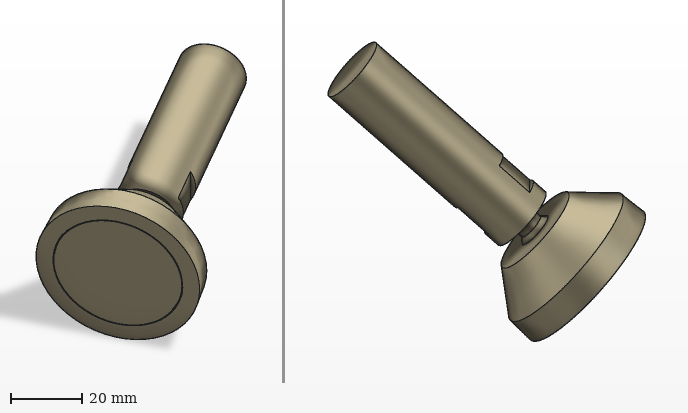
import cadquery as cq
import math

TOTAL_LENGTH = 90.0

BASE_DIAMETER = 48.0
RIM_TOP_DIAMETER = 47.2
RIM_HEIGHT = 8.2
FOOT_TOP_DIAMETER = 28.0
FOOT_HEIGHT = 20.0
GROOVE_OUTER_DIAMETER = 38.0
GROOVE_INNER_DIAMETER = 37.5
GROOVE_DEPTH = 0.9

SHANK_DIAMETER = 20.0
SHANK_START = 25.0
NECK_DIAMETER = 7.8
BALL_DIAMETER = 12.6
NECK_START = 21.5
FLATS_START = 30.0
FLATS_LENGTH = 11.6
ACROSS_FLATS = 17.0

ball_radius = BALL_DIAMETER / 2
neck_radius = NECK_DIAMETER / 2
ball_center = NECK_START - math.sqrt(ball_radius**2 - neck_radius**2)


def cylinder_along_y(diameter, start, end):
    """Round bar on the Y axis between two Y positions."""
    plane = cq.Workplane("XZ", origin=(0, start, 0))
    return plane.circle(diameter / 2).extrude(start - end)


def make_ball():
    return cq.Workplane("XY").sphere(ball_radius).translate((0, ball_center, 0))


def make_spindle():
    """Ball, neck and shank in one piece, with two wrench flats facing X."""
    neck = cylinder_along_y(NECK_DIAMETER, ball_center, SHANK_START)
    shank = cylinder_along_y(SHANK_DIAMETER, SHANK_START, TOTAL_LENGTH)
    spindle = make_ball().union(neck).union(shank)

    cut_depth = (SHANK_DIAMETER - ACROSS_FLATS) / 2
    cutter = cq.Workplane("XY").box(cut_depth, FLATS_LENGTH, SHANK_DIAMETER)
    for side in (-1, 1):
        cutter_x = side * (ACROSS_FLATS + cut_depth) / 2
        spindle = spindle.cut(cutter.translate((cutter_x, FLATS_START + FLATS_LENGTH / 2, 0)))
    return spindle


def make_foot():
    """Tapered foot with a socket for the ball and a thin ring groove in its base."""
    foot = (
        cq.Workplane("XY")
        .lineTo(BASE_DIAMETER / 2, 0)
        .lineTo(RIM_TOP_DIAMETER / 2, RIM_HEIGHT)
        .lineTo(FOOT_TOP_DIAMETER / 2, FOOT_HEIGHT)
        .lineTo(0, FOOT_HEIGHT)
        .close()
        .revolve(360, (0, 0, 0), (0, 1, 0))
    )
    groove_core = cylinder_along_y(GROOVE_INNER_DIAMETER, 0, GROOVE_DEPTH)
    groove = cylinder_along_y(GROOVE_OUTER_DIAMETER, 0, GROOVE_DEPTH).cut(groove_core)
    return foot.cut(groove).cut(make_ball())


spindle = make_spindle()
foot = make_foot()
result = cq.Compound.makeCompound([spindle.solids().val(), foot.solids().val()])